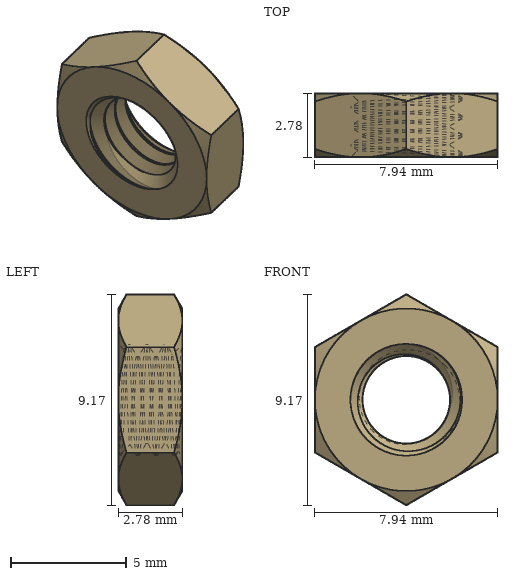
import cadquery as cq
import math

across_corners = 9.17
across_flats = across_corners * math.cos(math.radians(30))
thickness = 2.78
corner_chamfer_angle = 30.0

thread_major_radius = 2.42
countersink_radius = 2.43
thread_minor_radius = 1.9
pitch = 0.8
thread_half_angle = 30.0
root_width = pitch / 8
cutter_overlap = 0.02
lead_in_turns = 1
extra_turns = 3

envelope_margin = 0.92


def hexagon_blank():
    """Hexagonal prism along local Z with its corners on local Y."""
    blank = cq.Workplane("XY").polygon(6, across_corners).extrude(thickness)
    return blank.rotate((0, 0, 0), (0, 0, 1), 90)


def corner_envelope():
    """Turned body whose conical ends bevel the hexagon corners."""
    face_radius = across_flats / 2
    outer_radius = across_corners / 2 + envelope_margin
    bevel_height = (outer_radius - face_radius) * math.tan(math.radians(corner_chamfer_angle))
    return (
        cq.Workplane("XZ")
        .moveTo(0, 0)
        .lineTo(face_radius, 0)
        .lineTo(outer_radius, bevel_height)
        .lineTo(outer_radius, thickness - bevel_height)
        .lineTo(face_radius, thickness)
        .lineTo(0, thickness)
        .close()
        .revolve(360, (0, 0, 0), (0, 1, 0))
    )


def minor_bore():
    """Through bore at the thread's minor radius."""
    return cq.Workplane("XY").circle(thread_minor_radius).extrude(thickness)


def countersunk_bore():
    """The minor bore widened by a 45 degree countersink at both ends."""
    countersink_depth = countersink_radius - thread_minor_radius
    return (
        cq.Workplane("XZ")
        .moveTo(0, 0)
        .lineTo(countersink_radius, 0)
        .lineTo(thread_minor_radius, countersink_depth)
        .lineTo(thread_minor_radius, thickness - countersink_depth)
        .lineTo(countersink_radius, thickness)
        .lineTo(0, thickness)
        .close()
        .revolve(360, (0, 0, 0), (0, 1, 0))
    )


def thread_groove():
    """Right-hand V groove with a flat root, running out past both faces."""
    inner_radius = thread_minor_radius - cutter_overlap
    flank_rise = (thread_major_radius - inner_radius) * math.tan(math.radians(thread_half_angle))
    start = -pitch * lead_in_turns
    helix = cq.Wire.makeHelix(pitch, thickness + extra_turns * pitch, inner_radius)
    groove = (
        cq.Workplane("XZ")
        .moveTo(inner_radius, -root_width - flank_rise)
        .lineTo(thread_major_radius, -root_width)
        .lineTo(thread_major_radius, 0)
        .lineTo(inner_radius, flank_rise)
        .close()
        .sweep(helix, isFrenet=True)
    )
    return groove.translate((0, 0, start)).rotate((0, 0, 0), (0, 0, 1), -90)


nut = hexagon_blank().intersect(corner_envelope())
nut = nut.cut(minor_bore()).cut(thread_groove()).cut(countersunk_bore())

result = nut.rotate((0, 0, 0), (1, 0, 0), -90).translate((0, -thickness / 2, 0))